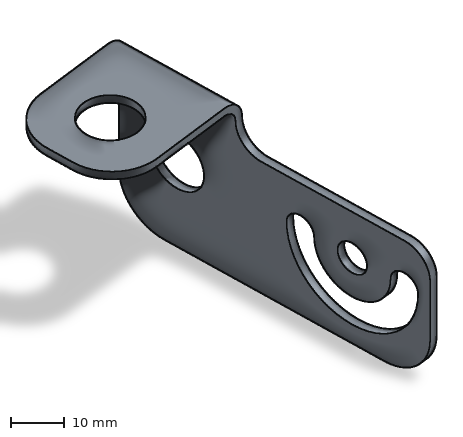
import cadquery as cq

length = 76.2
depth = 35.2
height = 43.2
thickness = 1.9
bend_outer_radius = 5.1
bend_inner_radius = bend_outer_radius - thickness

flange_width = 28.6
low_edge_height = 31.8
large_corner_radius = 11.1
small_corner_radius = 6.3

large_hole_diameter = 13.1
pivot_hole_diameter = 7.2
hole_height = 20.65
pivot_x = 57.15
slot_inner_radius = 9.4
slot_outer_radius = 16.1
large_hole_x = flange_width / 2
flange_hole_y = large_hole_x

plate_front_y = depth - thickness
flange_bottom_z = height - thickness


def bent_sheet():
    """L-shaped sheet, bent along X, running the full length."""
    return (
        cq.Workplane("YZ")
        .moveTo(0, flange_bottom_z)
        .lineTo(plate_front_y - bend_inner_radius, flange_bottom_z)
        .radiusArc((plate_front_y, flange_bottom_z - bend_inner_radius), bend_inner_radius)
        .lineTo(plate_front_y, 0)
        .lineTo(depth, 0)
        .lineTo(depth, height - bend_outer_radius)
        .radiusArc((depth - bend_outer_radius, height), -bend_outer_radius)
        .lineTo(0, height)
        .close()
        .extrude(length)
    )


def back_plane(x, z):
    """Sketch plane on the back face, facing -Y, with its origin at the given X and Z."""
    return cq.Workplane("XZ", origin=(x, depth, z))


def round_edge(body, x, z, radius):
    """Fillet the edge along Y that passes through the given X and Z."""
    nearest = cq.selectors.NearestToPointSelector((x, depth / 2, z))
    return body.edges("|Y").edges(nearest).fillet(radius)


def front_blank():
    """Outline of the bracket seen along Y, extruded through the full depth."""
    low_edge_length = length - flange_width
    blank = back_plane(0, 0).rect(length, height, centered=False).extrude(depth)
    notch = (
        back_plane(flange_width, low_edge_height)
        .rect(low_edge_length, height - low_edge_height, centered=False)
        .extrude(depth)
    )
    blank = blank.cut(notch)

    blank = round_edge(blank, 0, 0, large_corner_radius)
    blank = round_edge(blank, length, 0, large_corner_radius)
    blank = round_edge(blank, length, low_edge_height, small_corner_radius)
    return round_edge(blank, flange_width, low_edge_height, small_corner_radius)


def flange_blank():
    """Outline seen along Z, with the flange's two front corners rounded."""
    return (
        cq.Workplane("XY")
        .rect(flange_width, depth, centered=False)
        .extrude(height)
        .edges("|Z and <Y")
        .fillet(large_corner_radius)
        .union(
            cq.Workplane("XY", origin=(0, plate_front_y, 0))
            .rect(length, thickness, centered=False)
            .extrude(height)
        )
    )


def curved_slot():
    """Half-ring slot below the pivot hole, with round ends."""
    end_radius = (slot_outer_radius - slot_inner_radius) / 2
    end_center_offset = (slot_outer_radius + slot_inner_radius) / 2
    return (
        back_plane(pivot_x, hole_height)
        .moveTo(-slot_outer_radius, 0)
        .threePointArc((0, -slot_outer_radius), (slot_outer_radius, 0))
        .threePointArc((end_center_offset, end_radius), (slot_inner_radius, 0))
        .threePointArc((0, -slot_inner_radius), (-slot_inner_radius, 0))
        .threePointArc((-end_center_offset, end_radius), (-slot_outer_radius, 0))
        .close()
        .extrude(thickness)
    )


large_hole = back_plane(large_hole_x, hole_height).circle(large_hole_diameter / 2).extrude(thickness)
pivot_hole = back_plane(pivot_x, hole_height).circle(pivot_hole_diameter / 2).extrude(thickness)
flange_hole = (
    cq.Workplane("XY", origin=(large_hole_x, flange_hole_y, flange_bottom_z))
    .circle(large_hole_diameter / 2)
    .extrude(thickness)
)

bracket = bent_sheet().intersect(front_blank()).intersect(flange_blank())
result = bracket.cut(large_hole).cut(pivot_hole).cut(flange_hole).cut(curved_slot())